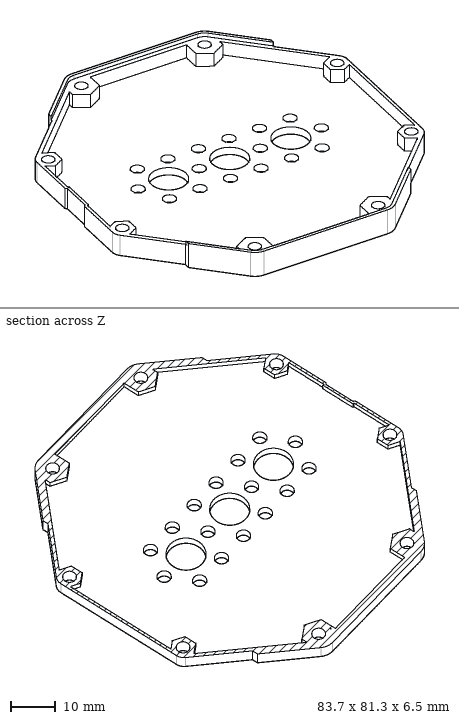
import cadquery as cq
import math

overall_width = 83.7
overall_depth = 81.28
wall_height = 5.5
lip_height = 6.5
floor_thickness = 2.0

screw_far = 37.85
screw_near = 16.15
screw_diameter = 3.0
screw_diagonal = (screw_far + screw_near) / math.sqrt(2)

body_diagonal_offset = 3.0
wall_thickness = 1.0
pocket_offset = body_diagonal_offset - wall_thickness
body_corner_radius = 2.8

lip_offset = overall_width / 2 - screw_far
lip_thickness = 0.8
lip_seat_offset = lip_offset - lip_thickness
lip_end_y = (screw_diagonal + body_diagonal_offset) / math.sqrt(2)

side_boss_diameter = 8.2
end_boss_diameter = 6.2

notch_half_width = 4.0
notch_depth = 0.4
notch_wall_thickness = 0.7
notch_backing_half_width = 4.3

large_hole_diameter = 9.0
large_hole_pitch = 16.0
large_hole_count = 3
small_hole_diameter = 3.2
centre_hole_count = large_hole_count + 1
side_hole_x = 7.0
side_hole_pitch = large_hole_pitch / 2
side_hole_count = 2 * large_hole_count

side_screws = [(sx * screw_far, sy * screw_near) for sx in (-1, 1) for sy in (-1, 1)]
end_screws = [(sx * screw_near, sy * screw_far) for sx in (-1, 1) for sy in (-1, 1)]


def octagon(flat_distance, diagonal_distance, corner_radius, height):
    """Rounded octagonal prism given the distances from its axis to the square and diagonal faces."""
    far = flat_distance
    near = math.sqrt(2) * diagonal_distance - flat_distance
    vertices = [
        (far, -near), (far, near), (near, far), (-near, far),
        (-far, near), (-far, -near), (-near, -far), (near, -far),
    ]
    prism = cq.Workplane("XY").polyline(vertices).close().extrude(height)
    return prism.edges("|Z").fillet(corner_radius)


def screw_octagon(offset, height):
    """Octagonal prism a fixed distance outside the screws, with corners concentric to them."""
    return octagon(screw_far + offset, screw_diagonal + offset, offset, height)


def side_lips():
    """Full-height bands on the -X and +X sides that rise above the wall as a thin lip."""
    outer = screw_octagon(lip_offset, lip_height)
    seat = screw_octagon(lip_seat_offset, lip_height).translate((0, 0, wall_height))
    band = cq.Workplane("XY").box(overall_width, 2 * lip_end_y, lip_height, centered=(True, True, False))
    return outer.cut(seat).intersect(band)


def hex_bosses(points, diameter):
    """Hexagonal columns with corners pointing along X."""
    return cq.Workplane("XY").pushPoints(points).polygon(6, diameter).extrude(wall_height)


def notch():
    """Shallow full-height recess with 45 degree ends in the outer face of the -Y wall."""
    outer_y = -overall_depth / 2
    inner_y = outer_y + notch_depth
    wide = notch_half_width + notch_depth / 2
    narrow = notch_half_width - notch_depth / 2
    points = [(-wide, outer_y), (wide, outer_y), (narrow, inner_y), (-narrow, inner_y)]
    return cq.Workplane("XY").polyline(points).close().extrude(wall_height)


def notch_backing():
    """Wall section behind the notch, standing slightly proud of the inner wall face."""
    width = 2 * notch_backing_half_width
    backing = cq.Workplane("XY").box(width, notch_wall_thickness, wall_height, centered=(True, False, False))
    return backing.translate((0, notch_depth - overall_depth / 2, 0))


def pocket():
    """Space above the floor, leaving the screw bosses and the notch backing standing."""
    space = screw_octagon(pocket_offset, wall_height).translate((0, 0, floor_thickness))
    space = space.cut(hex_bosses(side_screws, side_boss_diameter))
    space = space.cut(hex_bosses(end_screws, end_boss_diameter))
    return space.cut(notch_backing())


def hole_row(x, count, pitch):
    """Points evenly spaced along Y and centred on Y = 0."""
    return [(x, (i - (count - 1) / 2) * pitch) for i in range(count)]


def through_holes(points, diameter):
    """Cutters for round holes through the full height."""
    return cq.Workplane("XY").pushPoints(points).circle(diameter / 2).extrude(lip_height)


large_holes = hole_row(0, large_hole_count, large_hole_pitch)
small_holes = hole_row(0, centre_hole_count, large_hole_pitch)
for hole_x in (-side_hole_x, side_hole_x):
    small_holes += hole_row(hole_x, side_hole_count, side_hole_pitch)

body = octagon(overall_depth / 2, screw_diagonal + body_diagonal_offset, body_corner_radius, wall_height)
result = body.union(side_lips())
result = result.cut(pocket())
result = result.cut(notch())
result = result.cut(through_holes(side_screws + end_screws, screw_diameter))
result = result.cut(through_holes(large_holes, large_hole_diameter))
result = result.cut(through_holes(small_holes, small_hole_diameter))